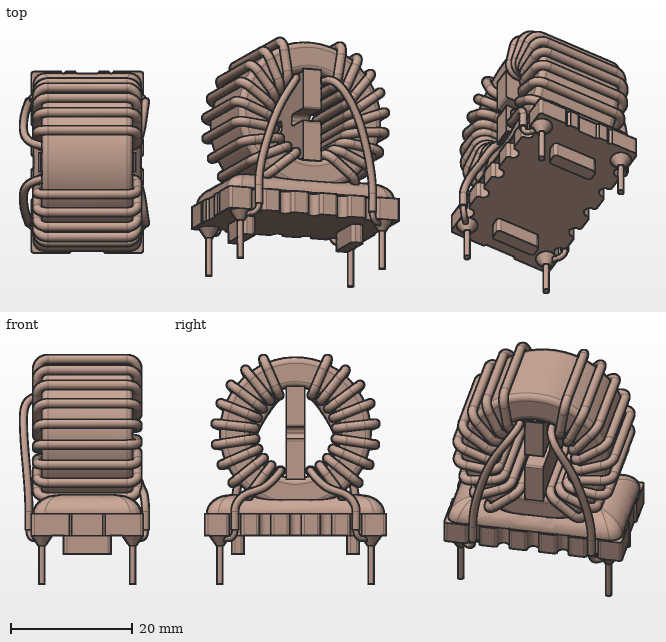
import cadquery as cq
import math


CORE_OUTER_DIAMETER = 25.0
CORE_INNER_DIAMETER = 15.0
CORE_WIDTH = 15.0
CORE_ROUNDING = 1.0
CORE_CENTRE_Z = 25.0

SEPARATOR_LENGTH = 16.07
SEPARATOR_THICKNESS = 3.1
SEPARATOR_HEIGHT = 14.65
SEPARATOR_HOOK_HEIGHT = 15.4
SEPARATOR_HOOK_THICKNESS = 0.38
SLOT_DEPTH = 5.7
SLOT_HEIGHT = 1.97
SLOT_END_ROUNDING = 0.9
SLOT_LIP_ROUNDING = 0.3

BASE_LENGTH_X = 18.5
BASE_LENGTH_Y = 30.0
BASE_BOTTOM_Z = 8.0
BASE_TOP_Z = 11.65
BASE_CORNER_RADIUS = 0.5
CHANNEL_WIDTH = 1.9
CHANNEL_DEPTH = 1.5
CHANNEL_LIP_RADIUS = 0.5
CHANNEL_PITCH = 5.0
CHANNELS_EACH_SIDE = 5
NOTCH_DEPTH = 0.38
FRONT_NOTCH_HALF_WIDTH = 2.95
REAR_NOTCH_HALF_WIDTH = 2.0
REAR_SIDE_NOTCH_INNER_X = 3.5
REAR_SIDE_NOTCH_OUTER_X = 4.4
FOOT_LENGTH_X = 7.85
FOOT_WIDTH_Y = 2.1
FOOT_DROP = 3.07
FOOT_ROUNDING = 0.55
FOOT_OFFSET_Y = 9.5

GLUE_TOP_Z = 14.7
GLUE_LENGTH_X = 17.8
GLUE_LENGTH_Y = 29.35
GLUE_FLAT_X = 9.1
GLUE_FLAT_Y = 21.23
GLUE_CORNER_RADIUS = 1.9
GLUE_TOP_CORNER_RADIUS = 0.2
GLUE_LEVELS = 5

PIN_RADIUS = 0.5
PIN_X = 7.5
PIN_Y = 12.47
SOLDER_TOP_RADIUS = 1.75
SOLDER_TIP_RADIUS = 0.55
SOLDER_HEIGHT = 1.7

WIRE_RADIUS = 0.75
TURNS = 9
TURN_PITCH_ANGLE = 15.0
FIRST_TURN_ANGLE = 66.5
LEAD_DIAMETER = 1.25
LEAD_X = 9.63
LEAD_Y = 2 * CHANNEL_PITCH
LEAD_DROP_TOP_Z = 12.05
LEAD_DROP_BOTTOM_Z = 8.95
BARE_WIRE_RADIUS = 0.45
BARE_WIRE_Z = 7.5
BARE_WIRE_BEND_RADIUS = 1.33
BARE_WIRE_END_GAP = 0.65
FRONT_LEAD_BOW = [
    (-9.45, 3.45, 30.48),
    (-10.55, 6.0, 26.8),
    (-10.15, 8.5, 20.55),
]
REAR_LEAD_BOW = [
    (8.85, 5.1, 16.05),
    (9.4, 8.65, 14.55),
]

CORE_OUTER_RADIUS = CORE_OUTER_DIAMETER / 2
CORE_INNER_RADIUS = CORE_INNER_DIAMETER / 2
LEAD_RADIUS = LEAD_DIAMETER / 2
BEND_RADIUS = CORE_ROUNDING + WIRE_RADIUS
OUTER_WIRE_RADIUS = CORE_OUTER_RADIUS + WIRE_RADIUS
INNER_WIRE_RADIUS = CORE_INNER_RADIUS - WIRE_RADIUS
FACE_WIRE_X = CORE_WIDTH / 2 + WIRE_RADIUS
LEAD_START_X = FACE_WIRE_X - BEND_RADIUS
LAST_TURN_ANGLE = FIRST_TURN_ANGLE - (TURNS - 1) * TURN_PITCH_ANGLE
BASE_HEIGHT = BASE_TOP_Z - BASE_BOTTOM_Z


def make_core():
    ring = (
        cq.Workplane("YZ", origin=(-CORE_WIDTH / 2, 0, CORE_CENTRE_Z))
        .circle(CORE_OUTER_RADIUS)
        .circle(CORE_INNER_RADIUS)
        .extrude(CORE_WIDTH)
    )
    return ring.edges("%CIRCLE").fillet(CORE_ROUNDING)


def make_separator():
    plate = cq.Workplane("XY", origin=(0, 0, CORE_CENTRE_Z)).box(
        SEPARATOR_LENGTH, SEPARATOR_THICKNESS, SEPARATOR_HEIGHT
    )
    for side in (-1, 1):
        hook_x = side * (SEPARATOR_LENGTH - SEPARATOR_HOOK_THICKNESS) / 2
        hooks = cq.Workplane("XY", origin=(hook_x, 0, CORE_CENTRE_Z)).box(
            SEPARATOR_HOOK_THICKNESS, SEPARATOR_THICKNESS, SEPARATOR_HOOK_HEIGHT
        )
        plate = plate.union(hooks)

        slot = (
            cq.Workplane("XY", origin=(side * SEPARATOR_LENGTH / 2, 0, CORE_CENTRE_Z))
            .box(2 * SLOT_DEPTH, SEPARATOR_THICKNESS, SLOT_HEIGHT)
            .edges("|Y")
            .fillet(SLOT_END_ROUNDING)
        )
        plate = plate.cut(slot)
    slot_lips = plate.faces("<X or >X").edges("|Y").edges(
        cq.selectors.BoxSelector(
            (-SEPARATOR_LENGTH, -SEPARATOR_THICKNESS, CORE_CENTRE_Z - SLOT_HEIGHT),
            (SEPARATOR_LENGTH, SEPARATOR_THICKNESS, CORE_CENTRE_Z + SLOT_HEIGHT),
        )
    )
    return slot_lips.fillet(SLOT_LIP_ROUNDING)


def edge_notch(side, start_x, end_x):
    """Shallow notch with 45 degree ends in the -Y (side = -1) or +Y (side = 1) edge of the base."""
    edge_y = side * BASE_LENGTH_Y / 2
    floor_y = edge_y - side * NOTCH_DEPTH
    outline = [
        (start_x, edge_y),
        (start_x + NOTCH_DEPTH, floor_y),
        (end_x - NOTCH_DEPTH, floor_y),
        (end_x, edge_y),
    ]
    return cq.Workplane("XY", origin=(0, 0, BASE_BOTTOM_Z)).polyline(outline).close().extrude(BASE_HEIGHT)


def wire_channel(side, y):
    """Round-bottomed channel with rounded lips in the -X (side = -1) or +X (side = 1) edge of the base."""
    edge_x = side * BASE_LENGTH_X / 2
    lip_x = edge_x - side * CHANNEL_LIP_RADIUS
    wall_end_x = edge_x - side * (CHANNEL_DEPTH - CHANNEL_WIDTH / 2)
    bottom_x = edge_x - side * CHANNEL_DEPTH
    half_width = CHANNEL_WIDTH / 2
    half_mouth = half_width + CHANNEL_LIP_RADIUS
    lip_sag = CHANNEL_LIP_RADIUS * (1 - math.sqrt(0.5))
    return (
        cq.Workplane("XY", origin=(0, 0, BASE_BOTTOM_Z))
        .moveTo(edge_x, y - half_mouth)
        .threePointArc((edge_x - side * lip_sag, y - half_width - lip_sag), (lip_x, y - half_width))
        .lineTo(wall_end_x, y - half_width)
        .threePointArc((bottom_x, y), (wall_end_x, y + half_width))
        .lineTo(lip_x, y + half_width)
        .threePointArc((edge_x - side * lip_sag, y + half_width + lip_sag), (edge_x, y + half_mouth))
        .close()
        .extrude(BASE_HEIGHT)
    )


def make_base():
    base = (
        cq.Workplane("XY", origin=(0, 0, BASE_BOTTOM_Z))
        .rect(BASE_LENGTH_X, BASE_LENGTH_Y)
        .extrude(BASE_HEIGHT)
        .edges("|Z")
        .fillet(BASE_CORNER_RADIUS)
    )

    for row in range(CHANNELS_EACH_SIDE):
        y = (row - (CHANNELS_EACH_SIDE - 1) / 2) * CHANNEL_PITCH
        for side in (-1, 1):
            base = base.cut(wire_channel(side, y))

    base = base.cut(edge_notch(-1, -FRONT_NOTCH_HALF_WIDTH, FRONT_NOTCH_HALF_WIDTH))
    base = base.cut(edge_notch(1, -REAR_NOTCH_HALF_WIDTH, REAR_NOTCH_HALF_WIDTH))
    base = base.cut(edge_notch(1, REAR_SIDE_NOTCH_INNER_X, REAR_SIDE_NOTCH_OUTER_X))
    base = base.cut(edge_notch(1, -REAR_SIDE_NOTCH_OUTER_X, -REAR_SIDE_NOTCH_INNER_X))

    feet = (
        cq.Workplane("XY", origin=(0, 0, BASE_BOTTOM_Z))
        .rarray(0.38, 2 * FOOT_OFFSET_Y, 1, 2)
        .rect(FOOT_LENGTH_X, FOOT_WIDTH_Y)
        .extrude(-FOOT_DROP)
        .edges("|Z")
        .fillet(FOOT_ROUNDING)
    )
    return base.union(feet)


def make_glue():
    """Loft through rounded rectangles that shrink upward along a quarter ellipse to the flat top."""
    sections = []
    for level in range(GLUE_LEVELS):
        sweep = math.radians(90 * level / (GLUE_LEVELS - 1))
        spread = math.cos(sweep)
        length_x = GLUE_FLAT_X + (GLUE_LENGTH_X - GLUE_FLAT_X) * spread
        length_y = GLUE_FLAT_Y + (GLUE_LENGTH_Y - GLUE_FLAT_Y) * spread
        corner_radius = GLUE_TOP_CORNER_RADIUS + (GLUE_CORNER_RADIUS - GLUE_TOP_CORNER_RADIUS) * spread
        z = BASE_TOP_Z + (GLUE_TOP_Z - BASE_TOP_Z) * math.sin(sweep)
        outline = cq.Sketch().rect(length_x, length_y).vertices().fillet(corner_radius)
        sections.append(outline.moved(cq.Location(cq.Vector(0, 0, z))))
    return cq.Workplane("XY").placeSketch(*sections).loft()


def make_pin(x, y):
    shank = cq.Workplane("XY", origin=(x, y, 0)).circle(PIN_RADIUS).extrude(BASE_BOTTOM_Z)
    solder = cq.Solid.makeCone(
        SOLDER_TIP_RADIUS,
        SOLDER_TOP_RADIUS,
        SOLDER_HEIGHT,
        cq.Vector(x, y, BASE_BOTTOM_Z - SOLDER_HEIGHT),
    )
    return shank.union(cq.Workplane(solder))


def ring_point(x, radius, angle):
    """Point at a radius and an elevation angle (degrees) about the core axis, on the +Y half."""
    tilt = math.radians(angle)
    return cq.Vector(x, radius * math.cos(tilt), CORE_CENTRE_Z + radius * math.sin(tilt))


def rounded_path(points, radius):
    """Wire along straight lines whose right-angled corners are rounded."""
    edges = []
    start = points[0]
    for before, corner, after in zip(points, points[1:], points[2:]):
        toward = (corner - before).normalized()
        away = (after - corner).normalized()
        bend_start = corner - toward * radius
        bend_end = corner + away * radius
        bend_middle = corner + (away - toward) * (radius * (1 - math.sqrt(0.5)))
        edges.append(cq.Edge.makeLine(start, bend_start))
        edges.append(cq.Edge.makeThreePointArc(bend_start, bend_middle, bend_end))
        start = bend_end
    edges.append(cq.Edge.makeLine(start, points[-1]))
    return cq.Wire.assembleEdges(edges)


def round_wire(path, radius):
    """Round bar of the given radius along a path."""
    section = cq.Plane(origin=path.startPoint(), normal=path.tangentAt(0))
    return cq.Workplane(section).circle(radius).sweep(cq.Workplane(path))


def make_coil(first_angle, turns):
    """Turns round the +Y half of the core: radial on the +X face, one pitch of slant on the -X face."""
    points = [ring_point(-LEAD_START_X, INNER_WIRE_RADIUS, first_angle)]
    for turn in range(turns):
        angle = first_angle - turn * TURN_PITCH_ANGLE
        next_angle = angle - TURN_PITCH_ANGLE
        points += [
            ring_point(FACE_WIRE_X, INNER_WIRE_RADIUS, angle),
            ring_point(FACE_WIRE_X, OUTER_WIRE_RADIUS, angle),
            ring_point(-FACE_WIRE_X, OUTER_WIRE_RADIUS, angle),
            ring_point(-FACE_WIRE_X, INNER_WIRE_RADIUS, next_angle),
        ]
    points.append(ring_point(LEAD_START_X, INNER_WIRE_RADIUS, first_angle - turns * TURN_PITCH_ANGLE))
    return round_wire(rounded_path(points, BEND_RADIUS), WIRE_RADIUS)


def make_lead(side, start, bow_points):
    """Insulated lead from the bore to its base channel: a bowed stretch, then a straight drop."""
    drop_top = cq.Vector(side * LEAD_X, LEAD_Y, LEAD_DROP_TOP_Z)
    drop_bottom = cq.Vector(side * LEAD_X, LEAD_Y, LEAD_DROP_BOTTOM_Z)
    bow = cq.Edge.makeSpline(
        [start, *[cq.Vector(*point) for point in bow_points], drop_top],
        tangents=[cq.Vector(side, 0, 0), cq.Vector(0, 0, -1)],
        scale=False,
    )
    drop = cq.Edge.makeLine(drop_top, drop_bottom)
    return round_wire(cq.Wire.assembleEdges([bow, drop]), LEAD_RADIUS)


def make_bare_end(side):
    """Stripped wire end that bends under the base and runs into the solder of its pin."""
    drop_bottom = cq.Vector(side * LEAD_X, LEAD_Y, LEAD_DROP_BOTTOM_Z)
    elbow = cq.Vector(side * LEAD_X, LEAD_Y, BARE_WIRE_Z)
    pin_centre = cq.Vector(side * PIN_X, PIN_Y, BARE_WIRE_Z)
    tip = pin_centre - (pin_centre - elbow).normalized() * BARE_WIRE_END_GAP
    return round_wire(rounded_path([drop_bottom, elbow, tip], BARE_WIRE_BEND_RADIUS), BARE_WIRE_RADIUS)


def make_winding():
    front_start = ring_point(-LEAD_START_X, INNER_WIRE_RADIUS, FIRST_TURN_ANGLE)
    rear_start = ring_point(LEAD_START_X, INNER_WIRE_RADIUS, LAST_TURN_ANGLE - TURN_PITCH_ANGLE)
    return (
        make_coil(FIRST_TURN_ANGLE, TURNS)
        .union(make_lead(-1, front_start, FRONT_LEAD_BOW))
        .union(make_lead(1, rear_start, REAR_LEAD_BOW))
        .union(make_bare_end(-1))
        .union(make_bare_end(1))
    )


separator = make_separator()
core = make_core()
base = make_base()

lowest_turn = make_coil(LAST_TURN_ANGLE, 1)
glue = make_glue().cut(core).cut(lowest_turn).cut(lowest_turn.mirror("XZ"))

half_winding = make_winding()
windings = [half_winding, half_winding.mirror("XZ")]

pins = []
for side in (-1, 1):
    soldered_pin = make_pin(side * PIN_X, PIN_Y).cut(make_bare_end(side))
    pins += [soldered_pin, soldered_pin.mirror("XZ")]

bodies = [core, separator, base, glue, *windings, *pins]
result = cq.Compound.makeCompound([body.solids().val() for body in bodies])